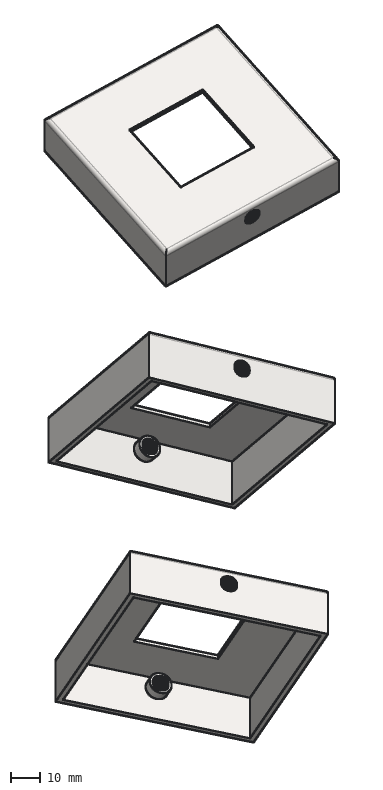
import cadquery as cq

side = 72.0
height = 18.0
wall = 2.0
top_thickness = 1.5
top_edge_radius = 1.5
window_side = 30.4

hole_z = 12.2
thread_minor_diameter = 4.75
thread_major_diameter = 6.0
thread_pitch = 1.0
boss_diameter = 8.0
boss_length = 3.95

underside_z = height - top_thickness
threaded_length = wall + boss_length


def cover_shell():
    """Thin-walled square cover with rounded top edges and a central window."""
    block = cq.Workplane("XY").box(side, side, height, centered=(True, True, False))
    block = block.faces(">Z").edges().fillet(top_edge_radius)
    cavity_side = side - 2 * wall
    cavity = cq.Workplane("XY").box(cavity_side, cavity_side, underside_z, centered=(True, True, False))
    window = cq.Workplane("XY").box(window_side, window_side, height, centered=(True, True, False))
    return block.cut(cavity).cut(window)


def boss():
    """Round boss from the middle of the -X wall to its inner end."""
    wall_overlap = wall / 2
    return (
        cq.Workplane("YZ", origin=(-side / 2 + wall - wall_overlap, 0, hole_z))
        .circle(boss_diameter / 2)
        .extrude(boss_length + wall_overlap)
        .intersect(cq.Workplane("XY").box(side, side, underside_z + top_thickness / 2,
                                          centered=(True, True, False)))
    )


def threaded_hole():
    """Cutter for the -X hole, with the thread simplified to V-shaped rings."""
    minor_radius = thread_minor_diameter / 2
    major_radius = thread_major_diameter / 2
    turns = int(threaded_length / thread_pitch) + 1
    profile = [(0, 0), (0, major_radius)]
    for turn in range(turns):
        start = turn * thread_pitch
        profile.append((start + thread_pitch / 2, minor_radius))
        profile.append((start + thread_pitch, major_radius))
    profile.append((turns * thread_pitch, 0))
    return (
        cq.Workplane("XZ", origin=(-side / 2, 0, hole_z))
        .polyline(profile)
        .close()
        .revolve(360, (0, 0), (1, 0))
    )


result = cover_shell()
for turn_about_z in (0, 180):
    result = result.union(boss().rotate((0, 0, 0), (0, 0, 1), turn_about_z))
    result = result.cut(threaded_hole().rotate((0, 0, 0), (0, 0, 1), turn_about_z))